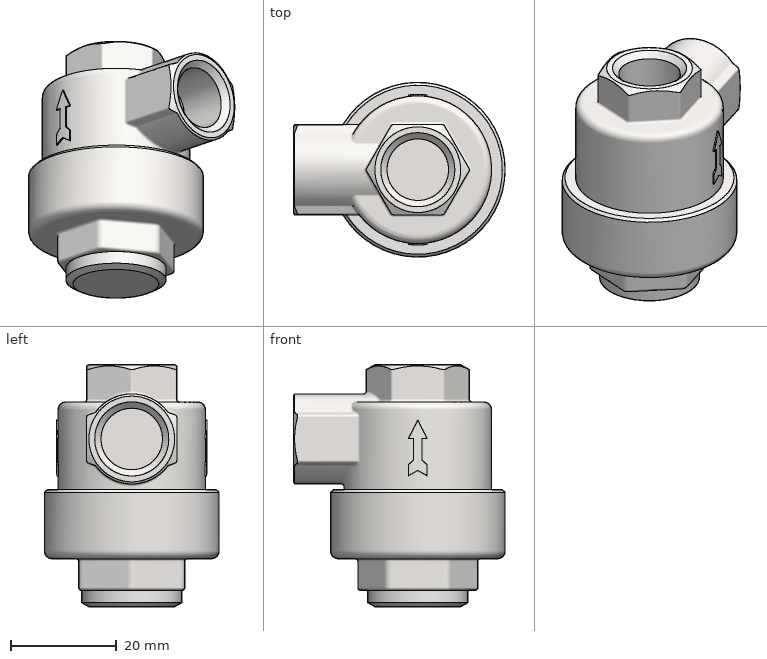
import cadquery as cq
import math

LOWER_HEX_BOTTOM_Z = 3.1
COLLAR_BOTTOM_Z = 9.05
COLLAR_TOP_Z = 22.1
BODY_TOP_Z = 38.65
UPPER_HEX_TOP_Z = 45.7

COLLAR_RADIUS = 16.5
BODY_RADIUS = 13.95
SPIGOT_RADIUS = 9.45
SPIGOT_END_RADIUS = 8.1
SPIGOT_CHAMFER_HEIGHT = 0.78
UPPER_HEX_FLATS = 17.0
LOWER_HEX_FLATS = 20.0
HEX_SIDES = 6
HEX_HALF_ANGLE = 180 / HEX_SIDES

LARGE_FILLET = 1.5
SMALL_FILLET = 0.5
COLLAR_CHAMFER = 0.55
CROWN_ANGLE = 30.0
CROWN_RADIUS = 8.1

JOINT_TOLERANCE = 0.0005

PORT_FACE_X = -23.5
PORT_AXIS_Z = 31.65
PORT_RADIUS = UPPER_HEX_FLATS / 2
PORT_FLAT_HALF_HEIGHT = 4.45
PORT_SHOULDER_ANGLE = 20.0
PORT_LENGTH = -PORT_FACE_X
PORT_PLANE = cq.Workplane("YZ", origin=(PORT_FACE_X, 0, PORT_AXIS_Z))

BORE_RADIUS = 5.8
COUNTERSINK_RADIUS = 7.0
BORE_DEPTH = 10.95

ARROW_RAISE = 0.27
ARROW_TIP_Z = 35.25
ARROW_HEAD_BASE_Z = 31.7
ARROW_SHAFT_BASE_Z = 27.75
ARROW_TAIL_SHOULDER_Z = 26.8
ARROW_TAIL_NOTCH_Z = 25.75
ARROW_TAIL_END_Z = 24.72
ARROW_HALF_WIDTH = 1.8
ARROW_SHAFT_HALF_WIDTH = 0.78


def cylinder(radius, bottom_z, top_z):
    """Cylinder on the Z axis between two heights."""
    return cq.Workplane("XY").workplane(offset=bottom_z).circle(radius).extrude(top_z - bottom_z)


def hexagon(across_flats, bottom_z, top_z, corner_fillet):
    """Hexagonal prism with corners on the X axis and rounded upright edges."""
    across_corners = across_flats / math.cos(math.radians(HEX_HALF_ANGLE))
    prism = cq.Workplane("XY").workplane(offset=bottom_z).polygon(HEX_SIDES, across_corners)
    return prism.extrude(top_z - bottom_z).edges("|Z").fillet(corner_fillet)


def crown_envelope(length):
    """Cone-ended cylinder whose crowned end lies on z = 0 and whose stem runs down.

    The stem is twice as wide as the crown, which clears all corners of the part it trims.
    """
    outer_radius = 2 * CROWN_RADIUS
    drop = (outer_radius - CROWN_RADIUS) * math.tan(math.radians(CROWN_ANGLE))
    return (
        cq.Workplane("XZ")
        .polyline([
            (0, 0),
            (CROWN_RADIUS, 0),
            (outer_radius, -drop),
            (outer_radius, -length),
            (0, -length),
        ])
        .close()
        .revolve(360, (0, 0, 0), (0, 1, 0))
    )


def bore_cutter():
    """Countersunk blind bore that opens at z = 0 and runs down."""
    countersink_depth = COUNTERSINK_RADIUS - BORE_RADIUS
    return (
        cq.Workplane("XZ")
        .polyline([
            (0, 0),
            (COUNTERSINK_RADIUS, 0),
            (BORE_RADIUS, -countersink_depth),
            (BORE_RADIUS, -BORE_DEPTH),
            (0, -BORE_DEPTH),
        ])
        .close()
        .revolve(360, (0, 0, 0), (0, 1, 0))
    )


def onto_upper_port(tool):
    """Move a tool from z = 0 to the top face of the upper hexagon."""
    return tool.translate((0, 0, UPPER_HEX_TOP_Z))


def onto_side_port(tool):
    """Turn a tool so that it opens toward -X on the side-port face."""
    return tool.rotate((0, 0, 0), (0, 1, 0), -90).translate((PORT_FACE_X, 0, PORT_AXIS_Z))


def fuse_with_fillet(parts):
    """Fuse parts and round every inside corner, an edge lying on the skins of two parts."""
    skins = [cq.Compound.makeCompound(part.faces().vals()) for part in parts]

    def is_joint(edge):
        middle = cq.Vertex.makeVertex(*edge.positionAt(0.5).toTuple())
        return sum(skin.distance(middle) < JOINT_TOLERANCE for skin in skins) > 1

    fused = parts[0]
    for part in parts[1:]:
        fused = fused.union(part)
    return fused.edges().filter(is_joint).fillet(SMALL_FILLET)


def main_body():
    """Round body with a rounded top rim; its foot is sunk into the collar."""
    body = cylinder(BODY_RADIUS, COLLAR_BOTTOM_Z + LARGE_FILLET, BODY_TOP_Z)
    return body.faces(">Z").edges().fillet(LARGE_FILLET)


def upper_hex():
    """Crowned hexagon whose foot is sunk to the side-port axis."""
    prism = hexagon(UPPER_HEX_FLATS, PORT_AXIS_Z, UPPER_HEX_TOP_Z, SMALL_FILLET)
    return prism.intersect(onto_upper_port(crown_envelope(UPPER_HEX_TOP_Z)))


def port_boss():
    """Round side-port boss along X, from its face to the main axis."""
    boss = PORT_PLANE.circle(PORT_RADIUS).extrude(PORT_LENGTH)
    return boss.intersect(onto_side_port(crown_envelope(PORT_LENGTH)))


def port_block():
    """Block through the boss that carries the wrench flats and their sloping shoulders."""
    shoulder_rise = PORT_RADIUS * math.tan(math.radians(PORT_SHOULDER_ANGLE))
    ridge_height = PORT_FLAT_HALF_HEIGHT + shoulder_rise
    block = (
        PORT_PLANE.polyline([
            (PORT_RADIUS, -PORT_FLAT_HALF_HEIGHT),
            (PORT_RADIUS, PORT_FLAT_HALF_HEIGHT),
            (0, ridge_height),
            (-PORT_RADIUS, PORT_FLAT_HALF_HEIGHT),
            (-PORT_RADIUS, -PORT_FLAT_HALF_HEIGHT),
            (0, -ridge_height),
        ])
        .close()
        .extrude(PORT_LENGTH)
    )
    block = block.edges("|X and (>Y or <Y)").fillet(SMALL_FILLET)
    return block.intersect(onto_side_port(crown_envelope(PORT_LENGTH)))


def collar():
    """Wide ring with a rounded bottom rim and a chamfered top rim."""
    ring = cylinder(COLLAR_RADIUS, COLLAR_BOTTOM_Z, COLLAR_TOP_Z)
    ring = ring.faces("<Z").edges().fillet(LARGE_FILLET)
    return ring.faces(">Z").edges().chamfer(COLLAR_CHAMFER)


def lower_hex():
    """Hexagon under the collar, with its top sunk into the collar."""
    top_z = COLLAR_BOTTOM_Z + LARGE_FILLET
    prism = hexagon(LOWER_HEX_FLATS, LOWER_HEX_BOTTOM_Z, top_z, LARGE_FILLET)
    return prism.faces("<Z").edges().fillet(SMALL_FILLET)


def spigot():
    """Round end below the lower hexagon, with a shallow chamfer at the bottom."""
    return (
        cq.Workplane("XZ")
        .polyline([
            (0, 0),
            (SPIGOT_END_RADIUS, 0),
            (SPIGOT_RADIUS, SPIGOT_CHAMFER_HEIGHT),
            (SPIGOT_RADIUS, COLLAR_BOTTOM_Z),
            (0, COLLAR_BOTTOM_Z),
        ])
        .close()
        .revolve(360, (0, 0, 0), (0, 1, 0))
    )


def flow_arrows():
    """Arrows through the body, trimmed to a thin skin around it."""
    right_side = [
        (ARROW_HALF_WIDTH, ARROW_HEAD_BASE_Z),
        (ARROW_SHAFT_HALF_WIDTH, ARROW_HEAD_BASE_Z),
        (ARROW_SHAFT_HALF_WIDTH, ARROW_SHAFT_BASE_Z),
        (ARROW_HALF_WIDTH, ARROW_TAIL_SHOULDER_Z),
        (ARROW_HALF_WIDTH, ARROW_TAIL_END_Z),
    ]
    left_side = [(-x, z) for x, z in reversed(right_side)]
    outline = [(0, ARROW_TIP_Z)] + right_side + [(0, ARROW_TAIL_NOTCH_Z)] + left_side
    bars = cq.Workplane("XZ").polyline(outline).close().extrude(COLLAR_RADIUS, both=True)
    skin = cylinder(BODY_RADIUS + ARROW_RAISE, COLLAR_TOP_Z, BODY_TOP_Z)
    core = cylinder(BODY_RADIUS, COLLAR_TOP_Z, BODY_TOP_Z)
    return bars.intersect(skin.cut(core))


housing = fuse_with_fillet([main_body(), port_boss(), port_block(), upper_hex()])
cap = fuse_with_fillet([collar(), lower_hex()]).union(spigot())

result = housing.union(cap).union(flow_arrows())
result = result.cut(onto_upper_port(bore_cutter())).cut(onto_side_port(bore_cutter()))